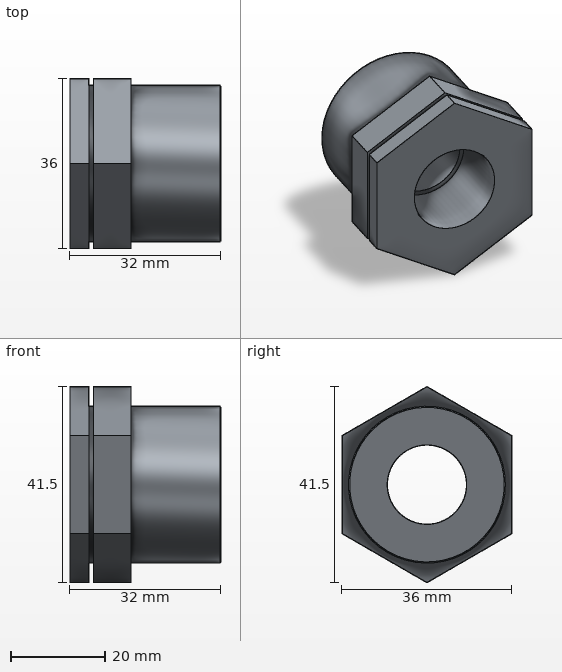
import cadquery as cq

across_corners = 41.55
total_length = 32.0
flange_thickness = 4.0
groove_width = 1.0
nut_thickness = 8.0
body_diameter = 33.25
end_chamfer = 0.25
entry_bore_diameter = 18.62
through_bore_diameter = 16.75
entry_bore_depth = total_length / 2

nut_start = flange_thickness + groove_width


def hex_plate(start, thickness):
    """Hexagonal plate with two corners on the Z axis."""
    return (
        cq.Workplane("YZ", origin=(start, 0, 0))
        .transformed(rotate=(0, 0, 90))
        .polygon(6, across_corners)
        .extrude(thickness)
    )


def cylinder(diameter, length):
    """Cylinder along X, starting at the flange face."""
    return cq.Workplane("YZ").circle(diameter / 2).extrude(length)


body = cylinder(body_diameter, total_length).faces(">X").edges().chamfer(end_chamfer)

flange = hex_plate(0, flange_thickness)
nut = hex_plate(nut_start, nut_thickness)

through_bore = cylinder(through_bore_diameter, total_length)
entry_bore = cylinder(entry_bore_diameter, entry_bore_depth)

result = body.union(flange).union(nut).cut(through_bore).cut(entry_bore)